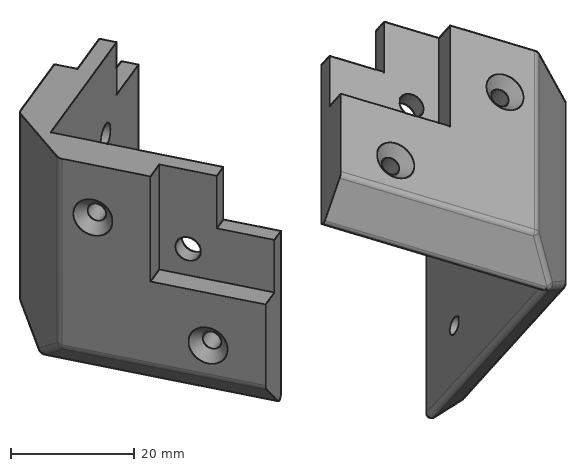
import cadquery as cq
import math

outer_size = 47.0
wall_thickness = 7.0
edge_chamfer = 11.0
bevel_radius = 1.5
bottom_edge_radius = 0.8
sharp_bottom_z = edge_chamfer - wall_thickness

lap_length = 20.0
lap_depth = 4.0
notch_size = lap_length / 2
lap_hole_diameter = 4.4
lap_hole_inset = 15.0

screw_hole_diameter = 3.2
countersink_diameter = 6.8
countersink_angle = 90.0
upper_screw_drop = 10.0
screw_step = 20.0
upper_screw_along = wall_thickness + upper_screw_drop
screw_positions = [
    (upper_screw_along, upper_screw_drop),
    (upper_screw_along + screw_step, upper_screw_drop + screw_step),
]

tolerance = 1e-3


def walls():
    """L-shaped pair of walls with the outer edges still square."""
    block = cq.Workplane("XY").box(outer_size, outer_size, outer_size, centered=False)
    inner_length = outer_size - wall_thickness
    inside = cq.Workplane("XY").box(inner_length, inner_length, outer_size, centered=False)
    return block.cut(inside.translate((wall_thickness, wall_thickness, 0)))


def edge_wedge(plane):
    """Triangular prism that cuts off the outer edge normal to the given plane."""
    corners = [(0, 0), (edge_chamfer, 0), (0, edge_chamfer)]
    profile = cq.Workplane(plane).polyline(corners).close()
    return profile.extrude(outer_size, both=True)


def is_bevel_border(edge):
    """True for an edge along a bevel that borders an outer face or another bevel."""
    x, y, z = edge.Center().toTuple()
    bevel_sums = (x + y, x + z, y + z)
    bevels = sum(abs(total - edge_chamfer) < tolerance for total in bevel_sums)
    outer_faces = sum(abs(value) < tolerance for value in (x, y))
    at_end = max(x, y, z) > outer_size - tolerance
    return bevels + outer_faces >= 2 and not at_end


def is_bottom_edge(edge):
    """True for the knife edge where a bottom bevel meets the inside of a wall."""
    return abs(edge.Center().z - sharp_bottom_z) < tolerance


def round_edges(body, wanted, radius):
    """Fillet the edges that pass the wanted test."""
    chosen = [edge for edge in body.edges().vals() if wanted(edge)]
    return body.newObject(chosen).fillet(radius)


def lap_cut():
    """Outer lap step and full-depth end notch of the y = 0 wall."""
    step = cq.Workplane("XY").box(lap_length, lap_depth, lap_length, centered=False)
    step = step.translate((outer_size - lap_length, 0, outer_size - lap_length))
    notch = cq.Workplane("XY").box(notch_size, wall_thickness, notch_size, centered=False)
    notch = notch.translate((outer_size - notch_size, 0, outer_size - notch_size))
    return step.union(notch)


def wall_hole(along, drop, diameter):
    """Through-hole cutter for the y = 0 wall."""
    hole = cq.Workplane("XZ").center(along, outer_size - drop).circle(diameter / 2)
    return hole.extrude(-wall_thickness)


def countersink(along, drop):
    """Conical cutter opening on the outer face y = 0."""
    radius = countersink_diameter / 2
    height = radius / math.tan(math.radians(countersink_angle / 2))
    mouth = cq.Vector(along, 0, outer_size - drop)
    cone = cq.Solid.makeCone(radius, 0, height, pnt=mouth, dir=cq.Vector(0, 1, 0))
    return cq.Workplane(cone)


def wall_cutters():
    """Everything removed from the y = 0 wall."""
    cutters = [lap_cut(), wall_hole(outer_size - lap_hole_inset, lap_hole_inset, lap_hole_diameter)]
    for along, drop in screw_positions:
        cutters.append(wall_hole(along, drop, screw_hole_diameter))
        cutters.append(countersink(along, drop))
    return cutters


sharp_body = walls()
for plane in ("XY", "XZ", "YZ"):
    sharp_body = sharp_body.cut(edge_wedge(plane))

bevel_rounded = round_edges(sharp_body, is_bevel_border, bevel_radius)
bottom_rounded = round_edges(sharp_body, is_bottom_edge, bottom_edge_radius)
body = bevel_rounded.intersect(bottom_rounded)

for cutter in wall_cutters():
    reflected = cutter.rotate((0, 0, 0), (0, 0, 1), 90).mirror("YZ")
    body = body.cut(cutter).cut(reflected)

result = cq.Workplane(body.solids().val())